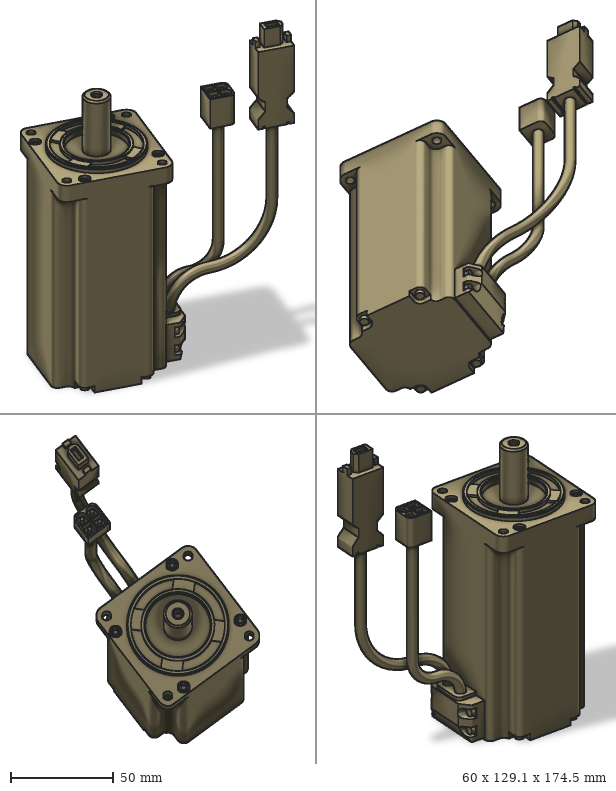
import cadquery as cq
import math

flange_width = 60.0
half_width = flange_width / 2
body_top = 110.8
face_half = 16.2
shoulder_radius = 3.5
relief_radius = 3.8

flange_thickness = 9.2
flange_top = body_top + flange_thickness
flange_corner_radius = 5.0
mount_hole_diameter = 4.5
mount_hole_offset = 25.0
boss_diameter = 50.0
boss_height = 2.5
boss_top = flange_top + boss_height
boss_chamfer = 0.5
recess_diameter = 32.0
recess_floor = 119.0
segment_outer_diameter = 46.0
segment_inner_diameter = 36.0
segment_depth = 1.7
rib_width = 10.5
rib_drop = 0.5
shaft_diameter = 14.0
shaft_top = 150.0
shaft_chamfer = 1.0
center_hole_diameter = 4.2
center_hole_depth = 10.5
center_hole_chamfer = 0.7

screw_far = 26.2
screw_near = 16.0
flange_bore_diameter = 6.0
flange_bore_depth = 3.5
screw_head_diameter = 4.5
screw_head_height = 2.5
socket_across_corners = 2.8
socket_depth = 1.4
rear_pocket_width = 7.5
rear_pocket_depth = 3.7

outlet_half_width = 16.2
outlet_back = 42.2
outlet_side_back = 37.7
outlet_edge_radius = 1.4
outlet_flat_half = 11.0
outlet_bottom = 1.2
outlet_top = 22.2
outlet_slope_bottom = 37.9
outlet_slope_top = 9.5
plate_top = 24.0
plate_half_width = 9.6
plate_back = 41.4
plate_corner_radius = 3.5
clamp_hole_diameter = 5.5
clamp_hole_x = 13.3
clamp_hole_levels = (17.0, 6.8)
clamp_hole_floor = 34.9
clamp_head_diameter = 4.9
clamp_head_height = 2.5

cable_diameter = 5.5
cable_exit_y = 35.8
cable_exit_z = 22.7
plug_bottom = 120.0

encoder_x = 5.4
encoder_y = 89.7
encoder_exit_radius = 21.0
encoder_width = 12.2
encoder_depth = 18.8
encoder_top = 164.0
neck_inset = 3.7
neck_edge_radius = 1.7
neck_levels = (125.6, 129.7, 134.7, 137.9)
tab_width = 3.7
tab_depth = 2.5
tab_top = 167.7
nose_width = 6.1
nose_front = 84.5
nose_back = 95.0
nose_top = 174.5
nose_chamfer = 2.0
nose_cavity_width = 3.0
nose_cavity_front = 86.4
nose_cavity_back = 93.0
nose_cavity_depth = 7.0
groove_size = 1.0
groove_offset = 6.3

power_x = -4.4
power_y = 65.3
power_exit_radius = 14.5
power_width = 13.5
power_top = 136.6
power_corner_radius = 3.0
cell_pitch = 6.1
cell_size = 5.4
cell_corner_radius = 2.3
cell_depth = 8.7
pin_diameter = 2.0
pin_recess = 0.9


def box(x_range, y_range, z_range):
    """Block spanning the given ranges."""
    size = [high - low for low, high in (x_range, y_range, z_range)]
    corner = (x_range[0], y_range[0], z_range[0])
    return cq.Workplane("XY").box(*size, centered=False).translate(corner)


def cylinder(x, y, z_bottom, z_top, diameter):
    """Upright cylinder."""
    base = cq.Workplane("XY", origin=(x, y, z_bottom))
    return base.circle(diameter / 2).extrude(z_top - z_bottom)


def make_body():
    wall = face_half + shoulder_radius
    ledge = half_width - shoulder_radius
    relief_center = wall + relief_radius
    body = box((-half_width, half_width), (-half_width, half_width), (0, body_top))
    shoulder_mid = shoulder_radius * math.sqrt(0.5)
    relief_mid = relief_center - relief_radius * math.sqrt(0.5)
    corner = (
        cq.Workplane("XY")
        .moveTo(face_half, half_width)
        .threePointArc((face_half + shoulder_mid, ledge + shoulder_mid), (wall, ledge))
        .lineTo(wall, relief_center)
        .threePointArc((relief_mid, relief_mid), (relief_center, wall))
        .lineTo(ledge, wall)
        .threePointArc((ledge + shoulder_mid, face_half + shoulder_mid), (half_width, face_half))
        .lineTo(half_width, half_width)
        .close()
        .extrude(body_top)
    )
    for turn in range(4):
        body = body.cut(corner.rotate((0, 0, 0), (0, 0, 1), 90 * turn))
    for x in (-screw_far, screw_far):
        for y in (-screw_near, screw_near):
            side_wall = math.copysign(half_width, x)
            pocket_half = rear_pocket_width / 2
            relief_side = math.copysign(relief_center, y)
            x_span = (x - pocket_half, x + pocket_half)
            y_span = (y - pocket_half, y + pocket_half)
            height = (0, rear_pocket_depth)
            pocket = (
                cylinder(x, y, *height, rear_pocket_width)
                .union(box(sorted((x, side_wall)), y_span, height))
                .union(box(x_span, sorted((y, relief_side)), height))
            )
            head_bottom = rear_pocket_depth - screw_head_height
            head = cylinder(x, y, head_bottom, rear_pocket_depth, screw_head_diameter)
            body = body.cut(pocket).union(head)
    return body


def make_flange():
    flange = (
        cq.Workplane("XY", origin=(0, 0, body_top))
        .rect(flange_width, flange_width)
        .extrude(flange_thickness)
        .edges("|Z")
        .fillet(flange_corner_radius)
    )
    holes = (
        cq.Workplane("XY", origin=(0, 0, body_top))
        .rect(2 * mount_hole_offset, 2 * mount_hole_offset, forConstruction=True)
        .vertices()
        .circle(mount_hole_diameter / 2)
        .extrude(flange_thickness)
    )
    flange = flange.cut(holes)
    bore_floor = flange_top - flange_bore_depth
    head_top = bore_floor + screw_head_height
    socket = (
        cq.Workplane("XY", origin=(screw_near, screw_far, head_top - socket_depth))
        .polygon(6, socket_across_corners)
        .extrude(socket_depth)
    )
    bore = cylinder(screw_near, screw_far, bore_floor, flange_top, flange_bore_diameter)
    head = cylinder(screw_near, screw_far, bore_floor, head_top, screw_head_diameter).cut(socket)
    for turn in range(4):
        flange = flange.cut(bore.rotate((0, 0, 0), (0, 0, 1), 90 * turn))
        flange = flange.union(head.rotate((0, 0, 0), (0, 0, 1), 90 * turn))
    return flange


def make_boss():
    boss = cylinder(0, 0, flange_top, boss_top, boss_diameter).faces(">Z").chamfer(boss_chamfer)
    segment_floor = boss_top - segment_depth
    segments = cylinder(0, 0, segment_floor, boss_top, segment_outer_diameter)
    segments = segments.cut(cylinder(0, 0, segment_floor, boss_top, segment_inner_diameter))
    for angle in (45, 135):
        rib = (
            cq.Workplane("XY", origin=(0, 0, segment_floor))
            .rect(boss_diameter, rib_width)
            .extrude(segment_depth)
            .rotate((0, 0, 0), (0, 0, 1), angle)
        )
        segments = segments.cut(rib)
    groove_floor = boss_top - rib_drop
    groove = cylinder(0, 0, groove_floor, boss_top, segment_outer_diameter)
    groove = groove.cut(cylinder(0, 0, groove_floor, boss_top, segment_inner_diameter))
    return boss.cut(segments).cut(groove)


def make_recess():
    recess = cylinder(0, 0, recess_floor, boss_top, recess_diameter)
    lead_in = (
        cq.Workplane("XY", origin=(0, 0, boss_top))
        .circle(recess_diameter / 2 + boss_chamfer)
        .workplane(offset=-boss_chamfer)
        .circle(recess_diameter / 2)
        .loft()
    )
    return recess.union(lead_in)


def make_shaft():
    shaft = cylinder(0, 0, body_top, shaft_top, shaft_diameter).faces(">Z").chamfer(shaft_chamfer)
    hole = cylinder(0, 0, shaft_top - center_hole_depth, shaft_top, center_hole_diameter)
    return shaft.cut(hole).faces(">Z").edges(cq.selectors.RadiusNthSelector(0)).chamfer(center_hole_chamfer)


def make_outlet():
    height = outlet_top - outlet_bottom
    outlet = (
        cq.Workplane("XY", origin=(0, 0, outlet_bottom))
        .moveTo(-outlet_half_width, half_width)
        .lineTo(-outlet_half_width, outlet_side_back)
        .lineTo(-outlet_flat_half, outlet_back)
        .lineTo(outlet_flat_half, outlet_back)
        .lineTo(outlet_half_width, outlet_side_back)
        .lineTo(outlet_half_width, half_width)
        .close()
        .extrude(height)
    )
    side_edges = cq.selectors.BoxSelector(
        (-flange_width, outlet_side_back - outlet_edge_radius, 0),
        (flange_width, outlet_side_back + outlet_edge_radius, outlet_top),
    )
    outlet = outlet.edges("|Z").edges(side_edges).fillet(outlet_edge_radius)
    slope = (
        cq.Workplane("YZ", origin=(-outlet_half_width, 0, 0))
        .moveTo(outlet_slope_bottom, outlet_bottom)
        .lineTo(outlet_back, outlet_bottom)
        .lineTo(outlet_back, outlet_slope_top)
        .close()
        .extrude(2 * outlet_half_width)
    )
    plate = (
        box((-plate_half_width, plate_half_width), (half_width, plate_back), (outlet_top, plate_top))
        .edges("|Z and >Y")
        .fillet(plate_corner_radius)
    )
    outlet = outlet.cut(slope).union(plate)
    bore_length = outlet_back - clamp_hole_floor
    bore_radius = clamp_hole_diameter / 2
    for side in (-1, 1):
        for level in clamp_hole_levels:
            center = (side * clamp_hole_x, clamp_hole_floor, level)
            plane = cq.Plane(origin=center, xDir=(side, 0, 0), normal=(0, 1, 0))
            bore = cq.Workplane(plane).circle(bore_radius).extrude(bore_length)
            opening = (
                cq.Workplane(plane)
                .rect(outlet_half_width - clamp_hole_x, clamp_hole_diameter, centered=(False, True))
                .extrude(bore_length)
            )
            head = cq.Workplane(plane).circle(clamp_head_diameter / 2).extrude(clamp_head_height)
            outlet = outlet.cut(bore).cut(opening).union(head)
    return outlet


def make_cable(x, y, exit_radius):
    """Cable rising from the outlet, bending back to level and then up into its plug."""
    level_y = cable_exit_y + exit_radius
    level_z = cable_exit_z + exit_radius
    rise_radius = y - level_y
    start = (cable_exit_y, cable_exit_z)
    diagonal = math.sqrt(0.5)
    exit_mid = (level_y - exit_radius * diagonal, cable_exit_z + exit_radius * diagonal)
    rise_mid = (level_y + rise_radius * diagonal, level_z + rise_radius * (1 - diagonal))
    path = (
        cq.Workplane("YZ", origin=(x, 0, 0))
        .moveTo(*start)
        .threePointArc(exit_mid, (level_y, level_z))
        .threePointArc(rise_mid, (y, level_z + rise_radius))
        .lineTo(y, plug_bottom)
    )
    profile = cq.Workplane("XY", origin=(x, cable_exit_y, cable_exit_z)).circle(cable_diameter / 2)
    return profile.sweep(path)


def make_encoder_plug():
    half_x = encoder_width / 2
    half_y = encoder_depth / 2
    neck_half = half_y - neck_inset
    flare_bottom, neck_bottom, neck_top, flare_top = neck_levels
    edge = [
        (half_y, plug_bottom),
        (half_y, flare_bottom),
        (neck_half, neck_bottom),
        (neck_half, neck_top),
        (half_y, flare_top),
        (half_y, encoder_top),
    ]
    outline = edge + [(-y, z) for y, z in reversed(edge)]
    plug = cq.Workplane("YZ").polyline(outline).close().extrude(half_x, both=True)
    flare_edges = cq.selectors.BoxSelector(
        (-half_x, -encoder_depth, flare_bottom - neck_edge_radius),
        (half_x, encoder_depth, flare_bottom + neck_edge_radius),
    )
    plug = plug.edges("|X").edges(flare_edges).fillet(neck_edge_radius)
    for side in (-1, 1):
        tab_y = sorted((side * (half_y - tab_depth), side * half_y))
        plug = plug.union(box((-tab_width / 2, tab_width / 2), tab_y, (encoder_top, tab_top)))
        groove_y = (side * groove_offset - groove_size / 2, side * groove_offset + groove_size / 2)
        plug = plug.cut(box((-half_x, half_x), groove_y, (plug_bottom, plug_bottom + groove_size)))
    plug = plug.translate((0, encoder_y, 0))
    nose = (
        box((-nose_width / 2, nose_width / 2), (nose_front, nose_back), (encoder_top, nose_top))
        .edges("|Z and >Y")
        .chamfer(nose_chamfer)
    )
    cavity = box(
        (-nose_cavity_width / 2, nose_cavity_width / 2),
        (nose_cavity_front, nose_cavity_back),
        (nose_top - nose_cavity_depth, nose_top),
    )
    return plug.union(nose).cut(cavity).translate((encoder_x, 0, 0))


def make_power_plug():
    half = power_width / 2
    plug = box((-half, half), (-half, half), (plug_bottom, power_top))
    plug = plug.edges("|Z and >Y").fillet(power_corner_radius)
    cell_floor = power_top - cell_depth
    cell_half = cell_size / 2
    for x in (-cell_pitch / 2, cell_pitch / 2):
        for y in (-cell_pitch / 2, cell_pitch / 2):
            cell = box((-cell_half, cell_half), (-cell_half, cell_half), (cell_floor, power_top))
            if y > 0:
                cell = cell.edges("|Z and >Y").fillet(cell_corner_radius)
            pin = cylinder(x, y, cell_floor, power_top - pin_recess, pin_diameter)
            plug = plug.cut(cell.translate((x, y, 0))).union(pin)
    return plug.translate((power_x, power_y, 0))


result = (
    make_body()
    .union(make_flange())
    .union(make_boss())
    .cut(make_recess())
    .union(make_shaft())
    .union(make_outlet())
    .union(make_cable(encoder_x, encoder_y, encoder_exit_radius))
    .union(make_cable(power_x, power_y, power_exit_radius))
    .union(make_encoder_plug())
    .union(make_power_plug())
)